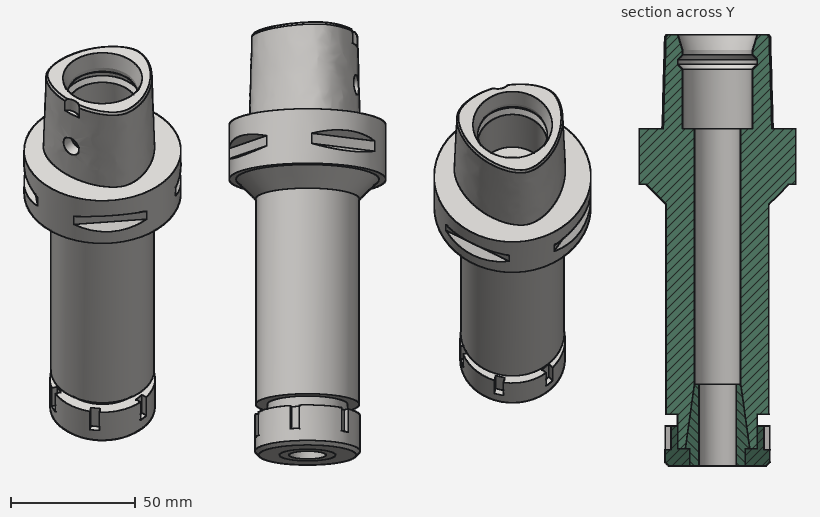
import cadquery as cq
import math


TOTAL_HEIGHT = 173.0
FLANGE_TOP = 135.3
FLANGE_BOTTOM = 113.0
BODY_BOTTOM = 20.8
NUT_TOP = 16.1

FLANGE_RADIUS = 31.5
CONE_TOP_RADIUS = 28.7
BODY_RADIUS = 20.8
NECK_RADIUS = 16.1

TAPER_BASE_RADIUS = 22.3
TAPER_TOP_RADIUS = 21.3
LOBE_HEIGHT = 1.5
OUTLINE_POINTS = 36
TAPER_CHAMFER_HEIGHT = 1.0
TAPER_CHAMFER_WIDTH = 0.7

MOUTH_RADIUS = 16.0
CLAMP_BORE_RADIUS = 14.0
MOUTH_DEPTH = 6.2
GROOVE_RADIUS = 16.0
GROOVE_WALL_HEIGHT = 1.9
GROOVE_START_DEPTH = 8.1

NOTCH_RADIUS = 5.2
NOTCH_FLOOR_Y = -18.0
NOTCH_DEPTH = 5.9
SIDE_HOLE_RADIUS = 4.0
SIDE_HOLE_DROP = 22.3
SIDE_HOLE_FLOOR_Y = -15.2

GRIPPER_COUNT = 4
GRIPPER_FLOOR_DISTANCE = 27.9
GRIPPER_FLOOR_HEIGHT = 4.2
GRIPPER_SIDE_ANGLE = 30.0
GRIPPER_LEVEL = 123.2

COLLET_BORE_RADIUS = 7.5
COLLET_TAIL_RADIUS = 9.2
COLLET_TAIL_LEVEL = 32.9
COLLET_TAPER_ANGLE = 8.0
COLLET_NOSE_RADIUS = 11.2
NECK_BOTTOM = 7.0
SEAT_DEPTH = COLLET_TAIL_LEVEL - NECK_BOTTOM
SEAT_RADIUS = COLLET_TAIL_RADIUS + SEAT_DEPTH * math.tan(math.radians(COLLET_TAPER_ANGLE))

NUT_RADIUS = 21.1
NUT_CHAMFER = 1.5
WRENCH_SLOT_COUNT = 6
WRENCH_SLOT_WIDTH = 3.8
WRENCH_SLOT_DEPTH = 9.5
WRENCH_SLOT_FLOOR_DISTANCE = 18.7


def revolved(profile):
    """Solid of revolution about Z from (radius, level) points."""
    return cq.Workplane("XZ").polyline(profile).close().revolve(360, (0, 0), (0, 1))


def taper_outline(mean_radius, level):
    """Closed three-lobed curve at a level, starting on the -Y side."""
    points = []
    for index in range(OUTLINE_POINTS):
        angle = 2 * math.pi * index / OUTLINE_POINTS - math.pi / 2
        reach = mean_radius - LOBE_HEIGHT * math.sin(3 * angle)
        slope = -3 * LOBE_HEIGHT * math.cos(3 * angle)
        x = reach * math.cos(angle) - slope * math.sin(angle)
        y = reach * math.sin(angle) + slope * math.cos(angle)
        points.append(cq.Vector(x, y, level))
    return cq.Wire.assembleEdges([cq.Edge.makeSpline(points, periodic=True)])


def taper_shank():
    """Tapered shank with a chamfered top rim."""
    base = taper_outline(TAPER_BASE_RADIUS, FLANGE_TOP)
    shoulder = taper_outline(TAPER_TOP_RADIUS, TOTAL_HEIGHT - TAPER_CHAMFER_HEIGHT)
    rim = taper_outline(TAPER_TOP_RADIUS - TAPER_CHAMFER_WIDTH, TOTAL_HEIGHT)
    return cq.Workplane(cq.Solid.makeLoft([base, shoulder, rim], True))


def flange_and_body():
    """Flange, 45 degree cone, body and neck without bores."""
    cone_height = CONE_TOP_RADIUS - BODY_RADIUS
    cone_bottom = FLANGE_BOTTOM - cone_height
    return revolved([
        (0, FLANGE_TOP),
        (FLANGE_RADIUS, FLANGE_TOP),
        (FLANGE_RADIUS, FLANGE_BOTTOM),
        (CONE_TOP_RADIUS, FLANGE_BOTTOM),
        (BODY_RADIUS, cone_bottom),
        (BODY_RADIUS, BODY_BOTTOM),
        (NECK_RADIUS, BODY_BOTTOM),
        (NECK_RADIUS, NECK_BOTTOM),
        (0, NECK_BOTTOM),
    ])


def holder_bore():
    """Clamping bore, through bore and conical collet seat, from top to bottom."""
    side = GROOVE_RADIUS - CLAMP_BORE_RADIUS
    groove_start = TOTAL_HEIGHT - GROOVE_START_DEPTH
    wall_top = groove_start - side
    wall_bottom = wall_top - GROOVE_WALL_HEIGHT
    groove_end = wall_bottom - side
    return revolved([
        (0, TOTAL_HEIGHT),
        (MOUTH_RADIUS, TOTAL_HEIGHT),
        (CLAMP_BORE_RADIUS, TOTAL_HEIGHT - MOUTH_DEPTH),
        (CLAMP_BORE_RADIUS, groove_start),
        (GROOVE_RADIUS, wall_top),
        (GROOVE_RADIUS, wall_bottom),
        (CLAMP_BORE_RADIUS, groove_end),
        (CLAMP_BORE_RADIUS, FLANGE_TOP),
        (COLLET_TAIL_RADIUS, FLANGE_TOP),
        (COLLET_TAIL_RADIUS, COLLET_TAIL_LEVEL),
        (SEAT_RADIUS, NECK_BOTTOM),
        (0, NECK_BOTTOM),
    ])


def rim_notch():
    """Round-backed notch open to the top rim."""
    return (
        cq.Workplane("XY", origin=(0, NOTCH_FLOOR_Y - NOTCH_RADIUS, TOTAL_HEIGHT))
        .circle(NOTCH_RADIUS)
        .extrude(-NOTCH_DEPTH)
    )


def side_hole():
    """Flat-bottomed radial hole that stops short of the bore."""
    return (
        cq.Workplane("XZ", origin=(0, SIDE_HOLE_FLOOR_Y, TOTAL_HEIGHT - SIDE_HOLE_DROP))
        .circle(SIDE_HOLE_RADIUS)
        .extrude(FLANGE_RADIUS)
    )


def gripper_groove(angle):
    """Straight groove of trapezoid section across the flange rim."""
    depth = FLANGE_RADIUS - GRIPPER_FLOOR_DISTANCE
    floor_half = GRIPPER_FLOOR_HEIGHT / 2
    mouth_half = floor_half + depth * math.tan(math.radians(GRIPPER_SIDE_ANGLE))
    return (
        cq.Workplane("XZ", origin=(0, 0, GRIPPER_LEVEL))
        .moveTo(GRIPPER_FLOOR_DISTANCE, -floor_half)
        .lineTo(FLANGE_RADIUS, -mouth_half)
        .lineTo(FLANGE_RADIUS, mouth_half)
        .lineTo(GRIPPER_FLOOR_DISTANCE, floor_half)
        .close()
        .extrude(FLANGE_RADIUS, both=True)
        .rotate((0, 0, 0), (0, 0, 1), angle)
    )


def make_holder():
    """Holder with its bore, notch, side hole and gripper grooves."""
    body = flange_and_body().union(taper_shank())
    body = body.cut(holder_bore()).cut(rim_notch()).cut(side_hole())
    pitch = 360 / GRIPPER_COUNT
    for index in range(GRIPPER_COUNT):
        body = body.cut(gripper_groove((index + 0.5) * pitch))
    return body


def make_collet():
    """Conical sleeve filling the seat, with a nose that fills the nut's mouth."""
    return revolved([
        (COLLET_BORE_RADIUS, 0),
        (COLLET_NOSE_RADIUS, 0),
        (COLLET_NOSE_RADIUS, NECK_BOTTOM),
        (SEAT_RADIUS, NECK_BOTTOM),
        (COLLET_TAIL_RADIUS, COLLET_TAIL_LEVEL),
        (COLLET_BORE_RADIUS, COLLET_TAIL_LEVEL),
    ])


def wrench_slot(angle):
    """Slot in the nut rim, open to the top and outside."""
    return (
        cq.Workplane("XY", origin=(0, 0, NUT_TOP))
        .rect(NUT_RADIUS, WRENCH_SLOT_WIDTH)
        .extrude(-WRENCH_SLOT_DEPTH)
        .translate((WRENCH_SLOT_FLOOR_DISTANCE + NUT_RADIUS / 2, 0, 0))
        .rotate((0, 0, 0), (0, 0, 1), angle)
    )


def make_nut():
    """Ring around the neck, with a lip below it that carries the collet."""
    nut = revolved([
        (COLLET_NOSE_RADIUS, 0),
        (NUT_RADIUS - NUT_CHAMFER, 0),
        (NUT_RADIUS, NUT_CHAMFER),
        (NUT_RADIUS, NUT_TOP),
        (NECK_RADIUS, NUT_TOP),
        (NECK_RADIUS, NECK_BOTTOM),
        (COLLET_NOSE_RADIUS, NECK_BOTTOM),
    ])
    for index in range(WRENCH_SLOT_COUNT):
        nut = nut.cut(wrench_slot(index * 360 / WRENCH_SLOT_COUNT))
    return nut


holder = make_holder()
collet = make_collet()
nut = make_nut()

result = cq.Compound.makeCompound([body.solids().val() for body in (holder, collet, nut)])